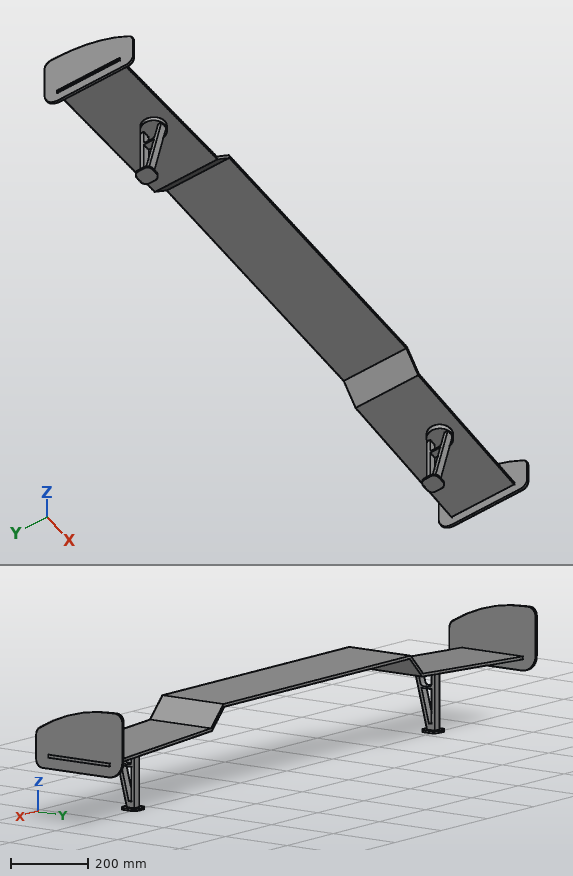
import cadquery as cq
import math

SPAN = 1801.0
TOP_HEIGHT = 306.0

WING_CHORD = 198.0
WING_THICKNESS = 8.1
CENTRE_HALF_LENGTH = 405.0
BEND_HALF_LENGTH = 460.0
CENTRE_HEIGHT = 252.0
BEND_HEIGHT = 196.0
TIP_HEIGHT = 173.0

PLATE_THICKNESS = 7.0
TIP_OVERHANG = 2.0
PLATE_DEPTH = 280.0
PLATE_BOTTOM = 135.0
PLATE_FRONT_HEIGHT = 235.0
PLATE_CREST_Y = 105.0
REAR_TOP_RADIUS = 22.0
REAR_BOTTOM_RADIUS = 45.0
FRONT_TOP_RADIUS = 25.0
FRONT_BOTTOM_RADIUS = 22.0

SUPPORT_X = 650.0
FOOT_SIDE = 50.0
FOOT_CORNER_RADIUS = 16.0
FOOT_THICKNESS = 5.0
FOOT_Y = -10.0
PAD_DIAMETER = 70.0
PAD_Y = -32.0
PAD_BOTTOM = 164.0
WEB_WIDTH = 22.0
WEB_REAR_Y = 2.0
WEB_FOOT_FRONT_Y = -23.0
WEB_PAD_FRONT_Y = -65.0
LEG_THICKNESS = 10.0
CROSSBAR_BOTTOM = 113.0
CROSSBAR_THICKNESS = 5.0
LOWER_WINDOW_BOTTOM = 22.0
UPPER_WINDOW_RADIUS = 9.0


def mitre_drop(inner, bend, outer):
    """Offset from a bend to the matching bend on the underside of the sheet."""
    inner_angle = math.atan2(bend[1] - inner[1], bend[0] - inner[0])
    outer_angle = math.atan2(outer[1] - bend[1], outer[0] - bend[0])
    mean_angle = (inner_angle + outer_angle) / 2
    length = WING_THICKNESS / math.cos((outer_angle - inner_angle) / 2)
    return length * math.sin(mean_angle), -length * math.cos(mean_angle)


def wing_underside():
    """Right half of the underside line, from the tip to the centre panel."""
    middle = (0, CENTRE_HEIGHT)
    crest = (CENTRE_HALF_LENGTH, CENTRE_HEIGHT)
    knee = (BEND_HALF_LENGTH, BEND_HEIGHT)
    tip = (SPAN / 2, TIP_HEIGHT)
    crest_dx, crest_dz = mitre_drop(middle, crest, knee)
    knee_dx, knee_dz = mitre_drop(crest, knee, tip)
    tip_angle = math.atan2(BEND_HEIGHT - TIP_HEIGHT, SPAN / 2 - BEND_HALF_LENGTH)
    return [
        (SPAN / 2, TIP_HEIGHT - WING_THICKNESS / math.cos(tip_angle)),
        (BEND_HALF_LENGTH + knee_dx, BEND_HEIGHT + knee_dz),
        (CENTRE_HALF_LENGTH + crest_dx, CENTRE_HEIGHT + crest_dz),
    ]


def wing_top():
    """Right half of the top line, from the tip to the centre panel."""
    return [
        (SPAN / 2, TIP_HEIGHT),
        (BEND_HALF_LENGTH, BEND_HEIGHT),
        (CENTRE_HALF_LENGTH, CENTRE_HEIGHT),
    ]


def mirrored(right_half):
    """Complete a left-right symmetric line from its right-hand points."""
    left_half = [(-x, z) for x, z in reversed(right_half)]
    return right_half + left_half


def chord_prism(upper_line, lower_line):
    """Solid between two spanwise lines, extruded across the wing chord."""
    outline = mirrored(upper_line) + mirrored(lower_line)[::-1]
    return cq.Workplane("XZ").polyline(outline).close().extrude(WING_CHORD / 2, both=True)


def make_wing():
    return chord_prism(wing_top(), wing_underside())


def make_end_plate(side, wing):
    """Upright plate whose top runs level, then curves down to the front, slotted for the wing tip."""
    rear = PLATE_DEPTH / 2
    front = -PLATE_DEPTH / 2
    inner_face = SPAN / 2 - TIP_OVERHANG - PLATE_THICKNESS
    start_x = inner_face if side > 0 else -inner_face - PLATE_THICKNESS
    plate = (
        cq.Workplane("YZ", origin=(start_x, 0, 0))
        .moveTo(front, PLATE_BOTTOM)
        .lineTo(rear, PLATE_BOTTOM)
        .lineTo(rear, TOP_HEIGHT)
        .lineTo(PLATE_CREST_Y, TOP_HEIGHT)
        .tangentArcPoint((front, PLATE_FRONT_HEIGHT), relative=False)
        .close()
        .extrude(PLATE_THICKNESS)
    )
    plate = plate.edges("|X").edges(">Y").edges(">Z").fillet(REAR_TOP_RADIUS)
    plate = plate.edges("|X").edges(">Y").edges("<Z").fillet(REAR_BOTTOM_RADIUS)
    plate = plate.edges("|X").edges("<Y").edges(">Z").fillet(FRONT_TOP_RADIUS)
    plate = plate.edges("|X").edges("<Y").edges("<Z").fillet(FRONT_BOTTOM_RADIUS)
    return plate.cut(wing)


def web_front_y(z):
    """Front edge of the sloping leg at height z."""
    rise = (z - FOOT_THICKNESS) / (PAD_BOTTOM - FOOT_THICKNESS)
    return WEB_FOOT_FRONT_Y + rise * (WEB_PAD_FRONT_Y - WEB_FOOT_FRONT_Y)


def web_prism(bottom, top, inset):
    """Part of the web between two heights, with its legs inset from both edges."""
    rear = WEB_REAR_Y - inset
    outline = [
        (rear, bottom),
        (rear, top),
        (web_front_y(top) + inset, top),
        (web_front_y(bottom) + inset, bottom),
    ]
    return cq.Workplane("YZ").polyline(outline).close().extrude(WEB_WIDTH / 2, both=True)


def make_support(side):
    foot = (
        cq.Workplane("XY", origin=(0, FOOT_Y, 0))
        .rect(FOOT_SIDE, FOOT_SIDE)
        .extrude(FOOT_THICKNESS)
        .edges("|Z")
        .fillet(FOOT_CORNER_RADIUS)
    )
    pad = (
        cq.Workplane("XY", origin=(0, PAD_Y, PAD_BOTTOM))
        .circle(PAD_DIAMETER / 2)
        .extrude(BEND_HEIGHT - PAD_BOTTOM)
    )
    web = web_prism(FOOT_THICKNESS, PAD_BOTTOM, 0)
    lower_window = web_prism(LOWER_WINDOW_BOTTOM, CROSSBAR_BOTTOM, LEG_THICKNESS)
    upper_window = web_prism(CROSSBAR_BOTTOM + CROSSBAR_THICKNESS, PAD_BOTTOM, LEG_THICKNESS)
    upper_window = upper_window.faces("<Z").edges("|X").fillet(UPPER_WINDOW_RADIUS)
    web = web.cut(lower_window).cut(upper_window)
    support = foot.union(web).union(pad).translate((side * SUPPORT_X, 0, 0))

    ceiling = [(SPAN / 2, TOP_HEIGHT)]
    wing_and_above = chord_prism(ceiling, wing_underside())
    return support.cut(wing_and_above)


wing = make_wing()
end_plates = [make_end_plate(side, wing) for side in (-1, 1)]
supports = [make_support(side) for side in (-1, 1)]

bodies = [wing] + end_plates + supports
result = cq.Compound.makeCompound([body.val() for body in bodies])